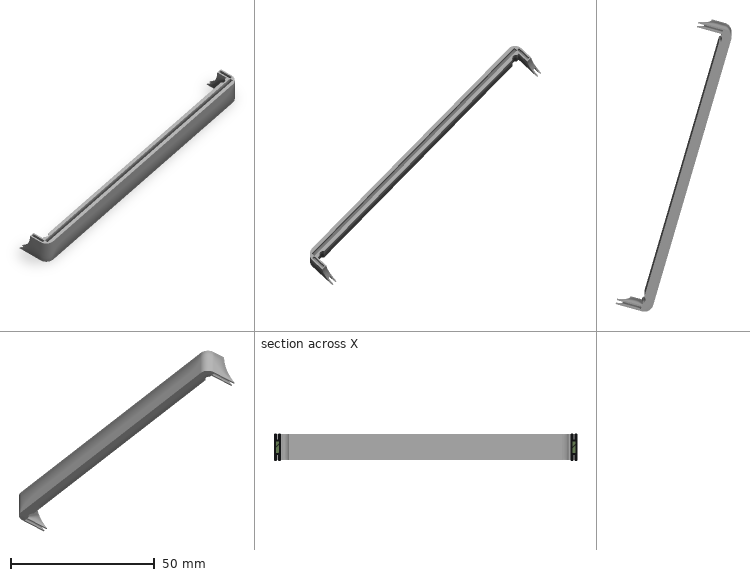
import cadquery as cq

length = 105.0
depth = 12.7
height = 9.0

back_thickness = 3.8
arm_thickness = 2.0
corner_radius = 3.2

arm_top_setback = 4.8
sweep_radius = (arm_top_setback**2 + height**2) / (2 * arm_top_setback)

relief_radius = 1.3
relief_offset = 4.0
relief_depth = 0.7

groove_depth = 2.1
groove_end_gap = 0.1
arm_groove_end_wall = 0.3
back_groove_width = 1.3
back_groove_inset = 1.3
arm_groove_width = 0.9
arm_groove_inset = 0.5

slot_height = 2.1

back_inner_x = depth - back_thickness
groove_outer_x = depth - back_groove_inset
groove_inner_x = groove_outer_x - back_groove_width
arm_groove_start_x = arm_top_setback + arm_groove_end_wall
half_length = length / 2


def box(x_start, x_end, y_start, y_end, z_start, z_end):
    """Axis-aligned box between the given limits."""
    size = (x_end - x_start, y_end - y_start, z_end - z_start)
    return cq.Workplane("XY").box(*size, centered=False).translate((x_start, y_start, z_start))


def make_frame():
    """U-shaped frame with rounded outer corners."""
    outside = box(0, depth, -half_length, half_length, 0, height).edges("|Z and >X").fillet(corner_radius)
    inner_y = half_length - arm_thickness
    return outside.cut(box(0, back_inner_x, -inner_y, inner_y, 0, height))


def make_front_sweep():
    """Cylinder along Y that hollows the front edges, upright where it meets the top."""
    return (
        cq.Workplane("XZ")
        .center(arm_top_setback - sweep_radius, height)
        .circle(sweep_radius)
        .extrude(half_length, both=True)
    )


def make_arm_channel(side, x_start, x_end, z_start, z_end):
    """Channel along the arm on the given side (-1 or 1)."""
    outer_y = half_length - arm_groove_inset
    inner_y = outer_y - arm_groove_width
    y_start, y_end = sorted((side * inner_y, side * outer_y))
    return box(x_start, x_end, y_start, y_end, z_start, z_end)


def make_relief(side):
    """Full-height round relief in the inner face of the back wall."""
    center_x = back_inner_x + relief_depth - relief_radius
    center_y = side * (half_length - relief_offset)
    return cq.Workplane("XY").center(center_x, center_y).circle(relief_radius).extrude(height)


def make_back_groove():
    """Top groove along the back wall, stopping just short of the arm grooves."""
    end_y = half_length - arm_groove_inset - arm_groove_width - groove_end_gap
    return box(groove_inner_x, groove_outer_x, -end_y, end_y, height - groove_depth, height)


result = make_frame().cut(make_front_sweep()).cut(make_back_groove())
for side in (-1, 1):
    result = result.cut(make_relief(side))
    result = result.cut(make_arm_channel(side, arm_groove_start_x, groove_inner_x, height - groove_depth, height))
    result = result.cut(make_arm_channel(side, 0, back_inner_x, 0, slot_height))